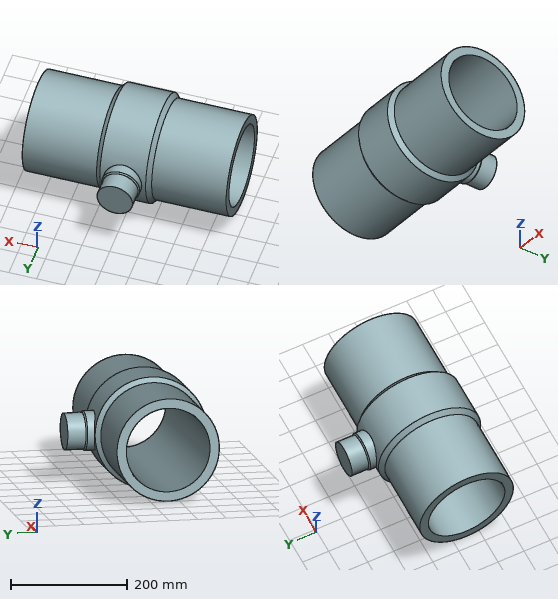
import cadquery as cq

pipe_length = 367.0
pipe_diameter = 180.0
bore_diameter = 146.8

collar_diameter = 196.5
collar_length = 99.0
collar_chamfer = (collar_diameter - pipe_diameter) / 2

overall_depth = 242.2
branch_reach = overall_depth - collar_diameter / 2
spigot_diameter = 64.0
spigot_length = 32.0
base_diameter = 68.5
base_chamfer = (base_diameter - spigot_diameter) / 2
base_reach = branch_reach - spigot_length


def cylinder_along_x(diameter, length):
    return cq.Workplane("YZ").circle(diameter / 2).extrude(length / 2, both=True)


def cylinder_along_y(diameter, length):
    """Cylinder from the pipe axis outward along +Y."""
    return cq.Workplane("XZ").circle(diameter / 2).extrude(-length)


pipe = cylinder_along_x(pipe_diameter, pipe_length)
collar = cylinder_along_x(collar_diameter, collar_length).edges().chamfer(collar_chamfer)
bore = cylinder_along_x(bore_diameter, pipe_length)

spigot = cylinder_along_y(spigot_diameter, branch_reach)
branch_base = cylinder_along_y(base_diameter, base_reach).faces(">Y").edges().chamfer(base_chamfer)

result = pipe.union(collar).union(branch_base).union(spigot).cut(bore)